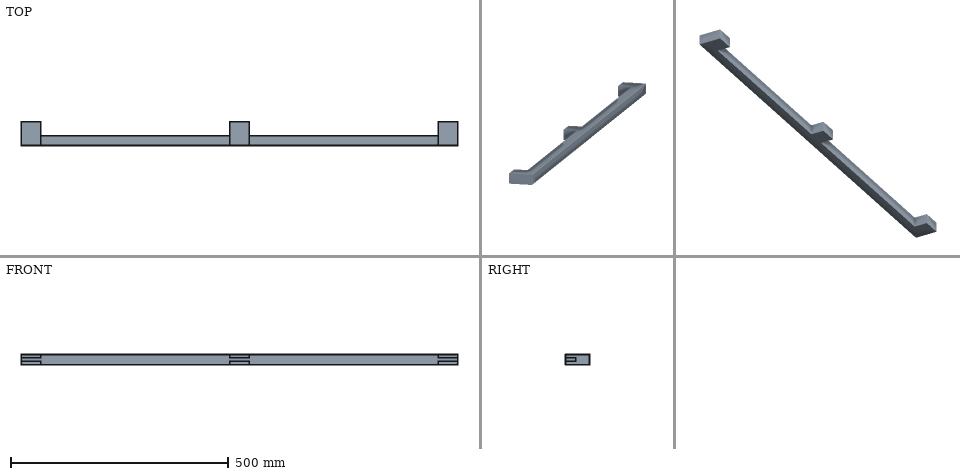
import cadquery as cq

RAIL_LENGTH = 1005.0
RAIL_HEIGHT = 24.0
RAIL_DEPTH = 23.0
TONGUE_HEIGHT = 8.0

BRACKET_WIDTH = 45.0
BRACKET_DEPTH = 55.0
END_BRACKET_X = (RAIL_LENGTH - BRACKET_WIDTH) / 2
BRACKET_POSITIONS = (-END_BRACKET_X, 0.0, END_BRACKET_X)

FRONT_Y = -BRACKET_DEPTH / 2
FRONT_EDGE_RADIUS = 1.0


def box_from_front(width, depth, height, center_x=0.0):
    """Box centred on Z = 0 that reaches back from the front plane."""
    return (
        cq.Workplane("XY")
        .box(width, depth, height, centered=(True, False, True))
        .translate((center_x, FRONT_Y, 0))
    )


def make_envelope():
    """Full outer block, rounded all around its front face."""
    block = box_from_front(RAIL_LENGTH, BRACKET_DEPTH, RAIL_HEIGHT)
    return block.faces("<Y").edges().fillet(FRONT_EDGE_RADIUS)


def make_tongue_space(center_x):
    """Thin middle stretch of the rail that a bracket grips."""
    return box_from_front(BRACKET_WIDTH, RAIL_DEPTH, TONGUE_HEIGHT, center_x)


def make_bracket(center_x):
    """Block with an open slot in its front for the rail's tongue."""
    block = box_from_front(BRACKET_WIDTH, BRACKET_DEPTH, RAIL_HEIGHT, center_x)
    return block.cut(make_tongue_space(center_x)).intersect(make_envelope())


def make_rail():
    """Straight bar, thinned from above and below to a tongue at each bracket."""
    rail = box_from_front(RAIL_LENGTH, RAIL_DEPTH, RAIL_HEIGHT).intersect(make_envelope())
    for center_x in BRACKET_POSITIONS:
        rail = rail.cut(make_bracket(center_x))
    return rail


rail = make_rail()
brackets = [make_bracket(center_x) for center_x in BRACKET_POSITIONS]

result = cq.Compound.makeCompound([rail.val(), *[bracket.val() for bracket in brackets]])